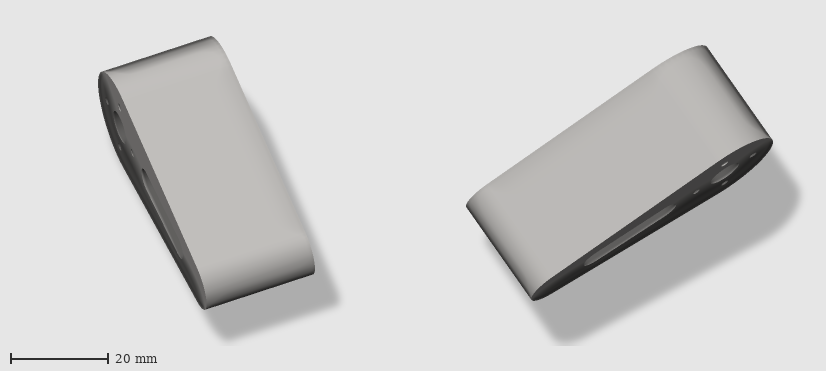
import cadquery as cq
import math

overall_length = 60.0
depth = 24.0
big_radius = 12.0
small_radius = 6.0
end_spacing = overall_length - big_radius - small_radius

bore_diameter = 7.0
screw_diameter = 1.7
screw_circle_radius = 7.0
screw_count = 4

slot_start = 12.0
slot_length = 23.0
slot_width = 6.0


def front_plane():
    """Front face plane, with the big end's axis at its origin."""
    return cq.Workplane("XZ")


def lever_body():
    tangent_cos = (big_radius - small_radius) / end_spacing
    tangent_sin = math.sqrt(1 - tangent_cos**2)
    big_x = big_radius * tangent_cos
    big_z = big_radius * tangent_sin
    small_x = end_spacing + small_radius * tangent_cos
    small_z = small_radius * tangent_sin
    return (
        front_plane()
        .moveTo(big_x, big_z)
        .lineTo(small_x, small_z)
        .threePointArc((end_spacing + small_radius, 0), (small_x, -small_z))
        .lineTo(big_x, -big_z)
        .threePointArc((-big_radius, 0), (big_x, big_z))
        .close()
        .extrude(-depth)
    )


def bore():
    return front_plane().circle(bore_diameter / 2).extrude(-depth)


def screw_holes():
    return (
        front_plane()
        .polarArray(screw_circle_radius, 0, 360, screw_count)
        .circle(screw_diameter / 2)
        .extrude(-depth)
    )


def slot():
    return (
        front_plane()
        .center(slot_start + slot_length / 2, 0)
        .slot2D(slot_length, slot_width)
        .extrude(-depth)
    )


result = lever_body().cut(bore()).cut(screw_holes()).cut(slot())